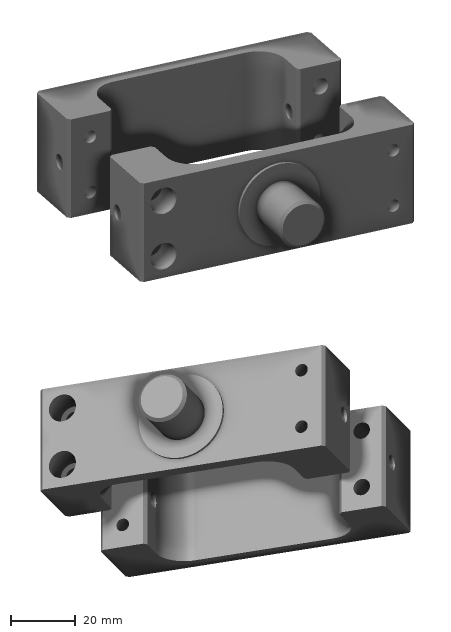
import cadquery as cq

total_span = 107.1
length = 95.0
height = 34.0

half_gap = 14.0
opening_size = 64.0
corner_radius = 9.0
edge_chamfer = 1.0

pin_diameter = 16.0
pin_length = 16.0
pin_chamfer = 1.0
collar_diameter = 28.0
collar_thickness = 1.0

screw_spacing_y = 79.7
screw_spacing_z = 19.1
clearance_diameter = 5.5
tapped_diameter = 4.2
counterbore_diameter = 9.0
counterbore_depth = 10.0

cross_hole_diameter = 5.0
cross_hole_offset = 20.0

collar_face_x = -total_span / 2 + pin_length
outer_face_x = collar_face_x + collar_thickness
inner_face_x = -half_gap
arm_depth = inner_face_x - outer_face_x


def x_cylinder(diameter, start_x, depth):
    """Cylinder on the X axis, running toward +X from start_x."""
    return cq.Workplane("YZ", origin=(start_x, 0, 0)).circle(diameter / 2).extrude(depth)


def make_c_body():
    """Block with chamfered ends, opened up into a C with rounded corners."""
    block = (
        cq.Workplane("XY")
        .box(arm_depth, length, height)
        .translate(((outer_face_x + inner_face_x) / 2, 0, 0))
        .edges("|Z")
        .chamfer(edge_chamfer)
    )
    opening = cq.Workplane("XY").box(opening_size, opening_size, height).edges("|Z").fillet(corner_radius)
    body = block.cut(opening)
    mouth_edges = body.faces(">X").edges("|Z").edges(
        cq.selectors.BoxSelector(
            (inner_face_x - edge_chamfer / 2, -opening_size / 2 - edge_chamfer / 2, -height),
            (inner_face_x + edge_chamfer / 2, opening_size / 2 + edge_chamfer / 2, height),
        )
    )
    return mouth_edges.chamfer(edge_chamfer)


def make_trunnion():
    """Collar and chamfered pin on the outer face."""
    collar = x_cylinder(collar_diameter, collar_face_x, collar_thickness)
    pin = x_cylinder(pin_diameter, -total_span / 2, pin_length).faces("<X").chamfer(pin_chamfer)
    return collar.union(pin)


def screw_holes():
    """Counterbored clearance holes in the +Y arm, tapped holes in the -Y arm."""
    clearance = x_cylinder(clearance_diameter, outer_face_x, arm_depth)
    counterbore = x_cylinder(counterbore_diameter, outer_face_x, counterbore_depth)
    screw_seat = clearance.union(counterbore)
    tapped = x_cylinder(tapped_diameter, outer_face_x, arm_depth)
    holes = cq.Workplane("XY")
    for z in (-screw_spacing_z / 2, screw_spacing_z / 2):
        holes = holes.add(screw_seat.translate((0, screw_spacing_y / 2, z)))
        holes = holes.add(tapped.translate((0, -screw_spacing_y / 2, z)))
    return holes.combine()


def cross_hole():
    """Hole along Y through both arms."""
    return (
        cq.Workplane("XZ", origin=(-cross_hole_offset, 0, 0))
        .circle(cross_hole_diameter / 2)
        .extrude(length / 2, both=True)
    )


def make_clamp_half():
    return make_c_body().union(make_trunnion()).cut(screw_holes()).cut(cross_hole())


clamp_halves = []
for angle in (0, 180):
    clamp_half = make_clamp_half().rotate((0, 0, 0), (0, 0, 1), angle)
    clamp_halves.append(clamp_half.val())

result = cq.Compound.makeCompound(clamp_halves)